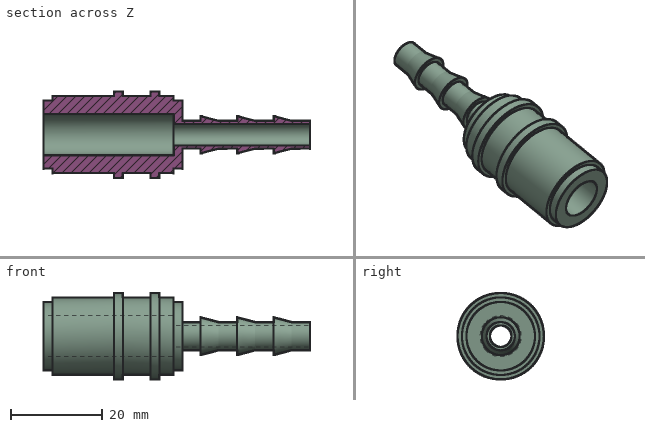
import cadquery as cq

TOTAL_LENGTH = 58.5

BODY_LENGTH = 30.55
BODY_DIAMETER = 17.0
COLLAR_DIAMETER = 15.05
COLLAR_LENGTH = 2.0

RIB_DIAMETER = 19.0
RIB_WIDTH = 2.0
FIRST_RIB_START = 15.45
RIB_PITCH = 8.0
RIB_COUNT = 2

TAIL_DIAMETER = 6.2
BARB_DIAMETER = 8.3
BARB_LENGTH = 4.0
BARB_COUNT = 3
BARB_PITCH = 8.0
FIRST_BARB_START = TOTAL_LENGTH - BARB_COUNT * BARB_PITCH

SOCKET_DIAMETER = 9.0
SOCKET_DEPTH = BODY_LENGTH - COLLAR_LENGTH
BORE_DIAMETER = 4.7


def cylinder(start, length, diameter):
    """Cylinder on the X axis, from start toward +X."""
    return cq.Workplane("YZ", origin=(start, 0, 0)).circle(diameter / 2).extrude(length)


def barb(start):
    """Cone that is widest at start and meets the tail at its far end."""
    cone = cq.Solid.makeCone(
        BARB_DIAMETER / 2,
        TAIL_DIAMETER / 2,
        BARB_LENGTH,
        pnt=cq.Vector(start, 0, 0),
        dir=cq.Vector(1, 0, 0),
    )
    return cq.Workplane(obj=cone)


result = cylinder(0, BODY_LENGTH, COLLAR_DIAMETER)
result = result.union(cylinder(COLLAR_LENGTH, BODY_LENGTH - 2 * COLLAR_LENGTH, BODY_DIAMETER))

for index in range(RIB_COUNT):
    result = result.union(cylinder(FIRST_RIB_START + index * RIB_PITCH, RIB_WIDTH, RIB_DIAMETER))

result = result.union(cylinder(BODY_LENGTH, TOTAL_LENGTH - BODY_LENGTH, TAIL_DIAMETER))
for index in range(BARB_COUNT):
    result = result.union(barb(FIRST_BARB_START + index * BARB_PITCH))

result = result.cut(cylinder(0, SOCKET_DEPTH, SOCKET_DIAMETER))
result = result.cut(cylinder(0, TOTAL_LENGTH, BORE_DIAMETER))